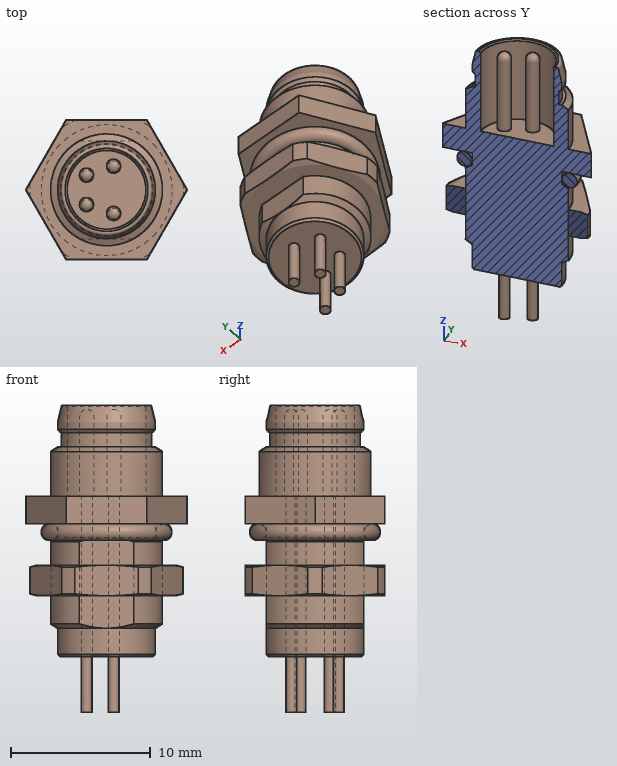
import cadquery as cq
import math


total_height = 22.0
hex_width_across_flats = 10.0
hex_diameter_across_corners = hex_width_across_flats / math.cos(math.radians(30))
thread_radius = 4.0
neck_radius = 3.5

plug_radius = 3.25
rim_fillet = 0.18
plug_cone_bottom = 20.8
latch_band_bottom = 20.26
latch_groove_top = 20.02
collar_top = 19.0
collar_chamfer_height = 0.33
socket_mouth_radius = 2.97
socket_radius = 2.82
socket_chamfer_depth = 0.09
flange_top = 15.49
socket_floor = flange_top

flange_thickness = 1.98
flange_bottom = flange_top - flange_thickness
thread_top = 12.23
thread_bottom = 6.34
thread_chamfer_height = 0.3
thread_end = thread_bottom - thread_chamfer_height
barrel_end = 4.0
barrel_chamfer = 0.18

ring_section_radius = 0.6

nut_top = 10.54
nut_thickness = 2.18
nut_corner_radius = 5.5
nut_chamfer_height = 0.13
nut_face_radius = hex_width_across_flats / 2

contact_radius = 0.5
tail_radius = 0.4
contact_tip = 21.71
inner_pin_x = 0.5
inner_pin_y = 1.7
outer_pin_x = -1.43
outer_pin_y = 1.05
pin_positions = [
    (inner_pin_x, inner_pin_y),
    (inner_pin_x, -inner_pin_y),
    (outer_pin_x, outer_pin_y),
    (outer_pin_x, -outer_pin_y),
]


def revolve_profile(profile):
    """Turn a closed XZ profile once around the Z axis."""
    return profile.close().revolve(360, (0, 0, 0), (0, 1, 0))


def hex_prism(bottom, height):
    """Hexagonal prism with corners on the X axis."""
    return (
        cq.Workplane("XY")
        .workplane(offset=bottom)
        .polygon(6, hex_diameter_across_corners)
        .extrude(height)
    )


def flatten(turned_body, bottom, height):
    """Trim a turned body to the width across the thread flats on the -Y and +Y sides."""
    between_flats = (
        cq.Workplane("XY")
        .workplane(offset=bottom)
        .rect(2 * thread_radius, 2 * neck_radius)
        .extrude(height)
    )
    return turned_body.intersect(between_flats)


def make_plug_and_collar():
    """Hollow plug with a tapered nose, latch groove and collar, down to the flange."""
    fillet_middle = rim_fillet * (1 - math.sqrt(0.5))
    return revolve_profile(
        cq.Workplane("XZ")
        .moveTo(0, flange_bottom)
        .lineTo(thread_radius, flange_bottom)
        .lineTo(thread_radius, collar_top - collar_chamfer_height)
        .lineTo(neck_radius, collar_top)
        .lineTo(plug_radius, collar_top)
        .lineTo(plug_radius, latch_groove_top)
        .lineTo(neck_radius, latch_band_bottom)
        .lineTo(neck_radius, plug_cone_bottom)
        .lineTo(plug_radius, total_height - rim_fillet)
        .threePointArc(
            (plug_radius - fillet_middle, total_height - fillet_middle),
            (plug_radius - rim_fillet, total_height),
        )
        .lineTo(socket_mouth_radius, total_height)
        .lineTo(socket_radius, total_height - socket_chamfer_depth)
        .lineTo(socket_radius, socket_floor)
        .lineTo(0, socket_floor)
    )


def make_threaded_shank():
    """Shank below the flange, chamfered at both ends and flattened on the -Y and +Y sides."""
    shank = revolve_profile(
        cq.Workplane("XZ")
        .moveTo(0, thread_end)
        .lineTo(neck_radius, thread_end)
        .lineTo(thread_radius, thread_bottom)
        .lineTo(thread_radius, thread_top)
        .lineTo(neck_radius, thread_top + thread_chamfer_height)
        .lineTo(neck_radius, flange_bottom)
        .lineTo(0, flange_bottom)
    )
    return flatten(shank, thread_end, flange_bottom - thread_end)


def make_rear_barrel():
    """Plain barrel behind the thread, chamfered at its free end."""
    return (
        cq.Workplane("XY")
        .workplane(offset=barrel_end)
        .circle(neck_radius)
        .extrude(thread_end - barrel_end)
        .faces("<Z")
        .chamfer(barrel_chamfer)
    )


def make_housing():
    """Connector body with a hex flange and through holes for the pin tails."""
    tail_holes = (
        cq.Workplane("XY")
        .workplane(offset=barrel_end)
        .pushPoints(pin_positions)
        .circle(tail_radius)
        .extrude(socket_floor - barrel_end)
    )
    return (
        make_plug_and_collar()
        .union(hex_prism(flange_bottom, flange_thickness))
        .union(make_threaded_shank())
        .union(make_rear_barrel())
        .cut(tail_holes)
    )


def make_o_ring():
    """Sealing ring on the neck, touching the underside of the flange."""
    ring_radius = neck_radius + ring_section_radius
    return (
        cq.Workplane("XZ")
        .center(ring_radius, flange_bottom - ring_section_radius)
        .circle(ring_section_radius)
        .revolve(360, (-ring_radius, 0, 0), (-ring_radius, 1, 0))
    )


def make_nut():
    """Hex nut with rounded corners and chamfered faces; its hole follows the flattened thread."""
    nut_bottom = nut_top - nut_thickness
    turned_blank = revolve_profile(
        cq.Workplane("XZ")
        .moveTo(0, nut_bottom)
        .lineTo(nut_face_radius, nut_bottom)
        .lineTo(nut_corner_radius, nut_bottom + nut_chamfer_height)
        .lineTo(nut_corner_radius, nut_top - nut_chamfer_height)
        .lineTo(nut_face_radius, nut_top)
        .lineTo(0, nut_top)
    )
    round_core = cq.Workplane("XY").workplane(offset=nut_bottom).circle(thread_radius).extrude(nut_thickness)
    thread_hole = flatten(round_core, nut_bottom, nut_thickness)
    return turned_blank.intersect(hex_prism(nut_bottom, nut_thickness)).cut(thread_hole)


def make_pin(x, y):
    """Thin tail through the housing and a thicker round-tipped contact above the socket floor."""
    dome_base = contact_tip - contact_radius
    dome_middle = contact_radius * math.sqrt(0.5)
    pin = revolve_profile(
        cq.Workplane("XZ")
        .lineTo(tail_radius, 0)
        .lineTo(tail_radius, socket_floor)
        .lineTo(contact_radius, socket_floor)
        .lineTo(contact_radius, dome_base)
        .threePointArc((dome_middle, dome_base + dome_middle), (0, contact_tip))
    )
    return pin.translate((x, y, 0))


housing = make_housing()
o_ring = make_o_ring()
nut = make_nut()
pins = [make_pin(x, y) for x, y in pin_positions]

result = cq.Compound.makeCompound([housing.val(), o_ring.val(), nut.val(), *[pin.val() for pin in pins]])